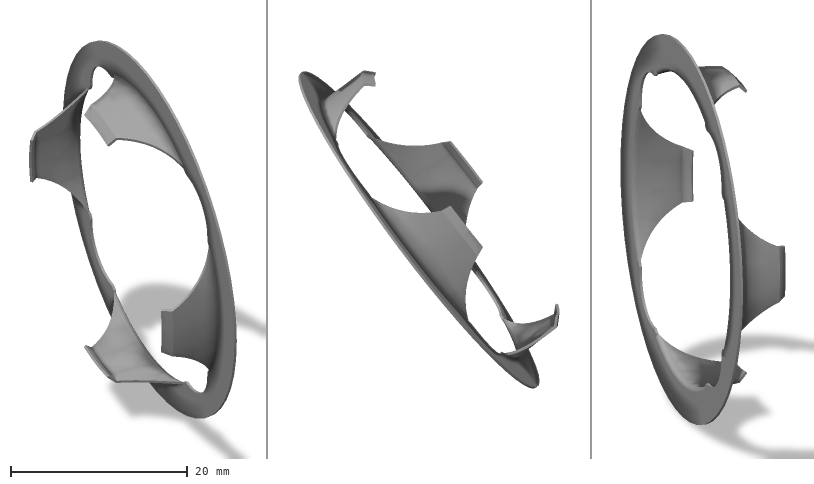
import cadquery as cq
import math

SHEET = 0.3
RING_RADIUS = 44.5 / 2
HOLE_RADIUS = 18.0
HOLE_HALF_WIDTH = 15.2
HOLE_CORNER_RADIUS = 5.0

TAB_COUNT = 4
TIP_DEPTH = 7.0
HOOK_DEPTH = 6.0
TAB_TAPER = math.radians(0.8)
HOOK_ANGLE = math.radians(45)

INNER_BEND_RADIUS = 0.2
OUTER_BEND_RADIUS = INNER_BEND_RADIUS + SHEET
BEND_DEPTH = OUTER_BEND_RADIUS
BEND_START_RADIUS = HOLE_RADIUS + OUTER_BEND_RADIUS

TAB_BASE_WIDTH = 18.1
TAB_NECK_WIDTH = 6.6
TAB_TIP_WIDTH = 6.0
TAB_SIDE_RADIUS = 10.7


def make_ring():
    """Ring whose opening is a circle joined with a rounded square."""
    disc = cq.Workplane("XZ").circle(RING_RADIUS).extrude(SHEET)
    round_hole = cq.Workplane("XZ").circle(HOLE_RADIUS).extrude(SHEET)
    square_hole = (
        cq.Workplane("XZ")
        .rect(2 * HOLE_HALF_WIDTH, 2 * HOLE_HALF_WIDTH)
        .extrude(SHEET)
        .edges("|Y")
        .fillet(HOLE_CORNER_RADIUS)
    )
    return disc.cut(round_hole).cut(square_hole)


def make_tab_shell():
    """Tab cross-section (bend, tapered wall and hook) revolved about Y."""
    wall_radius = HOLE_RADIUS + SHEET
    hook_radius = wall_radius - (HOOK_DEPTH - BEND_DEPTH) * math.tan(TAB_TAPER)
    tip_radius = hook_radius - (TIP_DEPTH - HOOK_DEPTH) * math.tan(HOOK_ANGLE)
    tip_inner_radius = tip_radius - SHEET * math.cos(HOOK_ANGLE)
    tip_inner_depth = TIP_DEPTH - SHEET * math.sin(HOOK_ANGLE)

    bisector = (TAB_TAPER + HOOK_ANGLE) / 2
    corner_distance = SHEET / math.cos((HOOK_ANGLE - TAB_TAPER) / 2)
    corner_radius = hook_radius - corner_distance * math.cos(bisector)
    corner_depth = HOOK_DEPTH - corner_distance * math.sin(bisector)

    return (
        cq.Workplane("XY")
        .moveTo(BEND_START_RADIUS, 0)
        .lineTo(BEND_START_RADIUS, -SHEET)
        .radiusArc((wall_radius, -BEND_DEPTH), -INNER_BEND_RADIUS)
        .lineTo(hook_radius, -HOOK_DEPTH)
        .lineTo(tip_radius, -TIP_DEPTH)
        .lineTo(tip_inner_radius, -tip_inner_depth)
        .lineTo(corner_radius, -corner_depth)
        .lineTo(HOLE_RADIUS, -BEND_DEPTH)
        .radiusArc((BEND_START_RADIUS, 0), OUTER_BEND_RADIUS)
        .close()
        .revolve(360, (0, 0, 0), (0, 1, 0))
    )


def make_tab_outline():
    """Solid with the outline of one tab, reaching from the Y axis toward +Z."""
    base = TAB_BASE_WIDTH / 2
    neck = TAB_NECK_WIDTH / 2
    tip = TAB_TIP_WIDTH / 2
    return (
        cq.Workplane("XY")
        .moveTo(-base, 0)
        .lineTo(base, 0)
        .lineTo(base, -SHEET)
        .radiusArc((neck, -HOOK_DEPTH), -TAB_SIDE_RADIUS)
        .lineTo(tip, -TIP_DEPTH)
        .lineTo(-tip, -TIP_DEPTH)
        .lineTo(-neck, -HOOK_DEPTH)
        .radiusArc((-base, -SHEET), -TAB_SIDE_RADIUS)
        .close()
        .extrude(RING_RADIUS)
    )


tab_outline = make_tab_outline()
tab = make_tab_shell().intersect(tab_outline)

bend_clearance = (
    cq.Workplane("XZ")
    .circle(BEND_START_RADIUS)
    .extrude(SHEET)
    .intersect(tab_outline)
)

result = make_ring()
for index in range(TAB_COUNT):
    angle = index * 360 / TAB_COUNT
    result = result.cut(bend_clearance.rotate((0, 0, 0), (0, 1, 0), angle))
    result = result.union(tab.rotate((0, 0, 0), (0, 1, 0), angle))